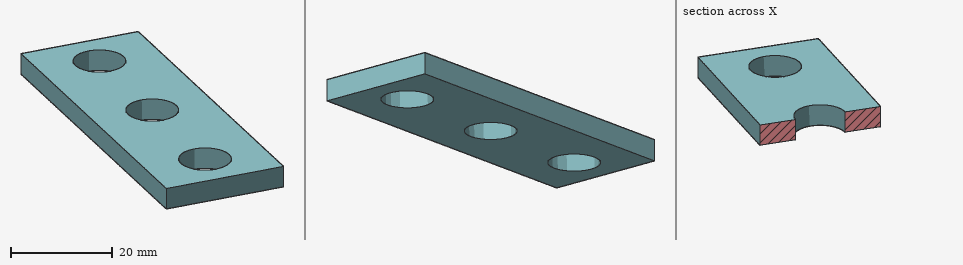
import cadquery as cq

length = 69.85
width = 25.4
thickness = 4.5

hole_diameter = 10.4
hole_pitch = 25.35
hole_count = 3

bar = cq.Workplane("XY").box(length, width, thickness)

result = (
    bar.faces(">Z")
    .workplane()
    .rarray(hole_pitch, width, hole_count, 1)
    .hole(hole_diameter)
)